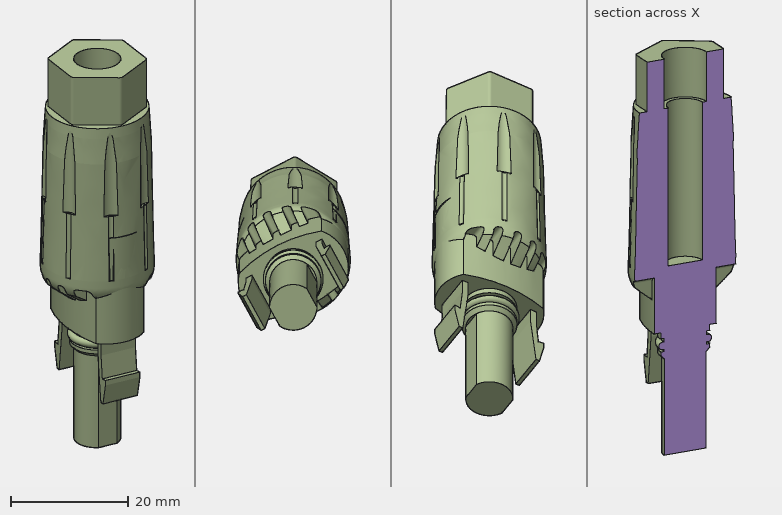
import math

import cadquery as cq

TOTAL_HEIGHT = 71.9
HEX_BOTTOM_Z = 62.9
BODY_RIM_Z = 61.0
BODY_SHOULDER_Z = 56.3
COLLAR_TOP_Z = 34.3
COLLAR_ROUND_Z = 32.9
COLLAR_CONE_TOP_Z = 30.9
COLLAR_CONE_BOTTOM_Z = 28.25
BLOCK_BOTTOM_Z = 22.3

HEX_ACROSS_FLATS = 14.75
HEX_CORNER_RADIUS = 0.65
BORE_RADIUS = 4.0
INNER_BORE_RADIUS = 3.2
BORE_STEP_Z = HEX_BOTTOM_Z
BORE_FLOOR_Z = COLLAR_TOP_Z

COLLAR_RADIUS = 19.5 / 2
BODY_TOP_RADIUS = 8.85
BODY_RIM_RADIUS = 9.0
BODY_SHOULDER_RADIUS = 9.3
COLLAR_CONE_TOP_RADIUS = 9.2
COLLAR_CONE_BOTTOM_RADIUS = 6.0

GROOVE_COUNT = 8
GROOVE_START_ANGLE = 30.0
GROOVE_RADIUS = 1.9
GROOVE_INNER_DISTANCE = 8.9
GROOVE_BOTTOM_Z = 46.45
FLUTE_RADIUS = 0.6
FLUTE_DEPTH = 0.2

COLLAR_SLOTS = [(-6.75, 2.2), (-3.45, 1.45), (0.0, 1.45), (3.45, 1.45), (6.75, 2.2)]
SLOT_TOP_Z = 32.4
SLOT_CORNER_RADIUS = 0.65
SLOT_INNER_Y = 3.6

BLOCK_HALF_LENGTH = 9.7
BLOCK_HALF_WIDTH = 6.0
BLOCK_CORNER_X = 7.9
BLOCK_CORNER_Y = 4.7
BLOCK_TOP_Z = 42.35

PIN_RADIUS = 4.0
PIN_FLAT_DISTANCE = 3.6
SEAT_RADIUS = 4.75
SEAT_GROOVE_RADIUS = 4.1
SEAT_GROOVE_TOP_Z = 21.2
SEAT_GROOVE_BOTTOM_Z = 18.9
SEAT_CHAMFER_TOP_Z = 18.2
SEAT_BOTTOM_Z = 17.5
O_RING_Z = 19.9
O_RING_OUTER_RADIUS = 5.1
O_RING_SECTION_RADIUS = 0.7

LATCH_WIDTH = 6.75
LATCH_INNER_X = 6.2
LATCH_OUTER_X = 7.3
LATCH_BEND_Z = 19.4
LATCH_ROOT_X = 7.8
LATCH_ROOT_Z = 15.25
BARB_X = 8.85
BARB_TOP_Z = 15.4
BARB_BOTTOM_Z = 14.4
LATCH_TIP_INNER_X = 7.25
LATCH_TIP_OUTER_X = 8.0
LATCH_TIP_Z = 10.6


def cylinder(radius, bottom_z, top_z, x=0.0, y=0.0):
    """Vertical cylinder between two heights."""
    return cq.Workplane("XY", origin=(x, y, bottom_z)).circle(radius).extrude(top_z - bottom_z)


def make_hex():
    across_corners = HEX_ACROSS_FLATS / math.cos(math.radians(30))
    return (
        cq.Workplane("XY", origin=(0, 0, HEX_BOTTOM_Z))
        .polygon(6, across_corners)
        .extrude(TOTAL_HEIGHT - HEX_BOTTOM_Z)
        .edges("|Z")
        .fillet(HEX_CORNER_RADIUS)
    )


def make_grip_body():
    """Tapered barrel ending in a rounded and coned collar."""
    return (
        cq.Workplane("XZ")
        .moveTo(0, HEX_BOTTOM_Z)
        .lineTo(BODY_TOP_RADIUS, HEX_BOTTOM_Z)
        .lineTo(BODY_RIM_RADIUS, BODY_RIM_Z)
        .lineTo(BODY_SHOULDER_RADIUS, BODY_SHOULDER_Z)
        .lineTo(COLLAR_RADIUS, COLLAR_TOP_Z)
        .lineTo(COLLAR_RADIUS, COLLAR_ROUND_Z)
        .tangentArcPoint((COLLAR_CONE_TOP_RADIUS, COLLAR_CONE_TOP_Z), relative=False)
        .lineTo(COLLAR_CONE_BOTTOM_RADIUS, COLLAR_CONE_BOTTOM_Z)
        .lineTo(0, COLLAR_CONE_BOTTOM_Z)
        .close()
        .revolve(360, (0, 0, 0), (0, 1, 0))
    )


def cut_grip_grooves(body):
    """Deep upper grooves, each continued by a shallow flute down to the collar."""
    groove_distance = GROOVE_INNER_DISTANCE + GROOVE_RADIUS
    flute_distance = COLLAR_RADIUS - FLUTE_DEPTH + FLUTE_RADIUS
    flute_height = GROOVE_BOTTOM_Z - COLLAR_TOP_Z
    inward_slope = (COLLAR_RADIUS - BODY_SHOULDER_RADIUS) / (BODY_SHOULDER_Z - COLLAR_TOP_Z)
    for index in range(GROOVE_COUNT):
        angle = math.radians(GROOVE_START_ANGLE + index * 360 / GROOVE_COUNT)
        along_x = math.cos(angle)
        along_y = math.sin(angle)
        groove = cylinder(
            GROOVE_RADIUS, GROOVE_BOTTOM_Z, HEX_BOTTOM_Z,
            groove_distance * along_x, groove_distance * along_y,
        )
        flute = cq.Solid.makeCylinder(
            FLUTE_RADIUS,
            flute_height,
            cq.Vector(flute_distance * along_x, flute_distance * along_y, COLLAR_TOP_Z),
            cq.Vector(-inward_slope * along_x, -inward_slope * along_y, 1),
        )
        body = body.cut(groove).cut(cq.Workplane(flute))
    return body


def cut_collar_slots(body):
    """Round-topped slots on both the -Y and +Y sides of the collar."""
    slot_length = COLLAR_RADIUS - SLOT_INNER_Y
    slot_height = SLOT_TOP_Z - COLLAR_CONE_BOTTOM_Z
    for center_x, width in COLLAR_SLOTS:
        slot = (
            cq.Workplane("XY", origin=(center_x, SLOT_INNER_Y, COLLAR_CONE_BOTTOM_Z))
            .box(width, slot_length, slot_height, centered=(True, False, False))
            .edges("|Y and >Z")
            .fillet(SLOT_CORNER_RADIUS)
        )
        body = body.cut(slot).cut(slot.mirror("XZ"))
    return body


def make_block():
    """Block bounded by four bulged faces; its ends reach through the grip body as pads."""
    return (
        cq.Workplane("XY", origin=(0, 0, BLOCK_BOTTOM_Z))
        .moveTo(BLOCK_CORNER_X, -BLOCK_CORNER_Y)
        .threePointArc((BLOCK_HALF_LENGTH, 0), (BLOCK_CORNER_X, BLOCK_CORNER_Y))
        .threePointArc((0, BLOCK_HALF_WIDTH), (-BLOCK_CORNER_X, BLOCK_CORNER_Y))
        .threePointArc((-BLOCK_HALF_LENGTH, 0), (-BLOCK_CORNER_X, -BLOCK_CORNER_Y))
        .threePointArc((0, -BLOCK_HALF_WIDTH), (BLOCK_CORNER_X, -BLOCK_CORNER_Y))
        .close()
        .extrude(BLOCK_TOP_Z - BLOCK_BOTTOM_Z)
    )


def make_pin():
    """Round pin with a flat on each X side."""
    flats = cq.Workplane("XY").box(
        2 * PIN_FLAT_DISTANCE, 2 * PIN_RADIUS, BLOCK_BOTTOM_Z, centered=(True, True, False)
    )
    return cylinder(PIN_RADIUS, 0, BLOCK_BOTTOM_Z).intersect(flats)


def make_seal_seat():
    """Grooved seat around the pin, with the O-ring in its groove."""
    seat = (
        cq.Workplane("XZ")
        .moveTo(0, BLOCK_BOTTOM_Z)
        .lineTo(SEAT_RADIUS, BLOCK_BOTTOM_Z)
        .lineTo(SEAT_RADIUS, SEAT_GROOVE_TOP_Z)
        .lineTo(SEAT_GROOVE_RADIUS, SEAT_GROOVE_TOP_Z)
        .lineTo(SEAT_GROOVE_RADIUS, SEAT_GROOVE_BOTTOM_Z)
        .lineTo(SEAT_RADIUS, SEAT_GROOVE_BOTTOM_Z)
        .lineTo(SEAT_RADIUS, SEAT_CHAMFER_TOP_Z)
        .lineTo(PIN_RADIUS, SEAT_BOTTOM_Z)
        .lineTo(0, SEAT_BOTTOM_Z)
        .close()
        .revolve(360, (0, 0, 0), (0, 1, 0))
    )
    o_ring = (
        cq.Workplane("XZ")
        .center(O_RING_OUTER_RADIUS - O_RING_SECTION_RADIUS, O_RING_Z)
        .circle(O_RING_SECTION_RADIUS)
        .revolve(360, (O_RING_SECTION_RADIUS - O_RING_OUTER_RADIUS, 0, 0),
                 (O_RING_SECTION_RADIUS - O_RING_OUTER_RADIUS, 1, 0))
    )
    return seat.union(o_ring)


def make_latch():
    """Barbed spring arm on the +X side."""
    outline = [
        (LATCH_INNER_X, BLOCK_BOTTOM_Z),
        (LATCH_OUTER_X, BLOCK_BOTTOM_Z),
        (LATCH_OUTER_X, LATCH_BEND_Z),
        (LATCH_ROOT_X, LATCH_ROOT_Z),
        (BARB_X, BARB_TOP_Z),
        (BARB_X, BARB_BOTTOM_Z),
        (LATCH_TIP_OUTER_X, LATCH_TIP_Z),
        (LATCH_TIP_INNER_X, LATCH_TIP_Z),
        (LATCH_INNER_X, LATCH_BEND_Z),
    ]
    return cq.Workplane("XZ").polyline(outline).close().extrude(LATCH_WIDTH / 2, both=True)


latch = make_latch()
grip_body = cut_collar_slots(cut_grip_grooves(make_grip_body()))
bore = cylinder(BORE_RADIUS, BORE_STEP_Z, TOTAL_HEIGHT).union(
    cylinder(INNER_BORE_RADIUS, BORE_FLOOR_Z, BORE_STEP_Z)
)

result = (
    grip_body
    .union(make_block())
    .union(make_hex())
    .union(make_pin())
    .union(make_seal_seat())
    .union(latch)
    .union(latch.mirror("YZ"))
    .cut(bore)
)